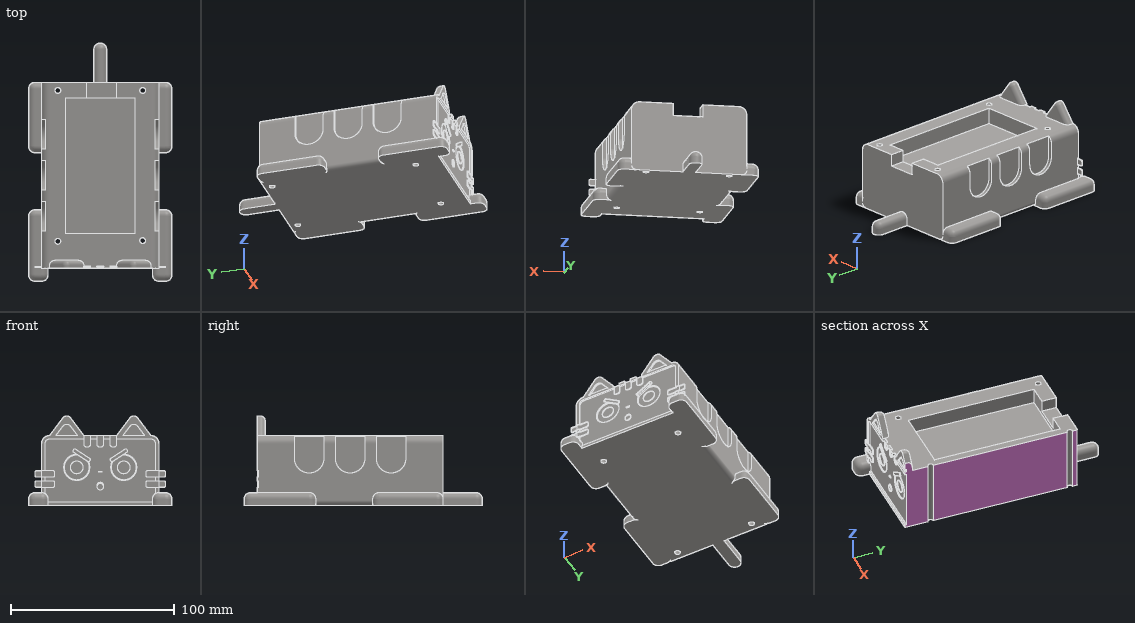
import cadquery as cq
import math

body_width = 72.0
body_length = 114.0
body_height = 43.0
top_edge_radius = 5.0
bottom_edge_radius = 3.0

rim_width = 2.2
face_depth = 1.0

overall_width = 87.9
paw_width = 12.0
paw_height = 8.0
paw_radius = 4.0
paw_top_radius = 3.999
front_paw_length = 44.0
front_paw_reach = 8.0
rear_paw_length = 43.2
tail_width = 8.0
tail_reach = 24.06

ear_spacing = 41.1
ear_half_width = 10.5
ear_slope = 1.33
ear_tip_radius = 3.0
ear_thickness = 5.0
ear_back_radius = 2.99
inner_ear_half_width = 6.6
inner_ear_depth = 1.0

pocket_width = 42.8
pocket_length = 83.0
pocket_back_wall = 9.6
pocket_depth = 10.2
notch_width = 18.4
notch_offset = 0.7
notch_depth = 7.6
screw_diameter = 3.4
screw_spacing = 52.0
screw_back_y = body_length - 5.0
front_left_screw_y = 16.6
front_right_screw_y = 17.0

scallop_width = 18.2
scallop_pitch = 25.1
scallop_bottom = 20.0
scallop_depth = 2.4
scallop_count = 3

stripe_width = 4.0
stripe_pitch = 8.0
stripe_height = 7.0
stripe_depth = 1.5
stripe_corner_radius = 1.4
stripe_count = 3

whisker_length = 12.0
whisker_height = 4.0
whisker_outer_x = 40.0
whisker_centers_z = (13.2, 19.4)
whisker_thickness = 0.6
whisker_corner_radius = 1.0

eye_x = 14.4
eye_z = 23.4
eye_radius = 8.0
eye_floor_radius = 7.6
eye_depth = 0.5
pupil_diameter = 7.8
pupil_height = 0.4
brow_x = 11.4
brow_z = 30.8
brow_length = 12.0
brow_width = 2.2
brow_corner_radius = 0.5
brow_angle = 33.0
brow_height = 0.6

nose_width = 2.2
nose_thickness = 0.4
nose_z = 20.7
nose_height = 0.6
mouth_radius = 2.0
mouth_z = 11.6
lip_rise = 0.7
mouth_height = 0.5
lip_height = 0.3

SIDES = (-1, 1)


def front_plane(y):
    """Sketch plane at depth y, seen from the front: local x is X, local y is Z, extrusion runs to -Y."""
    return cq.Workplane("XZ", origin=(0, y, 0))


def make_body():
    block = cq.Workplane("XY").box(body_width, body_length, body_height, centered=(True, False, False))
    block = block.edges("|Y and >Z").fillet(top_edge_radius)
    return block.edges("|Y and <Z").fillet(bottom_edge_radius)


def make_paw(width, length, x, y_start):
    """Flat-bottomed finger with round corners and a round top."""
    pad = cq.Workplane("XY").box(width, length, paw_height, centered=(True, False, False))
    pad = pad.edges("|Z").fillet(paw_radius)
    pad = pad.faces(">Z").edges().fillet(paw_top_radius)
    return pad.translate((x, y_start, 0))


def make_tail():
    """Flat-bottomed bar with a half-round top, ending in a round tip."""
    radius = tail_width / 2
    straight = tail_reach - radius
    tip_y = body_length + straight
    bar = (
        cq.Workplane("XZ", origin=(0, tip_y, 0))
        .moveTo(-radius, 0)
        .lineTo(-radius, radius)
        .threePointArc((0, 2 * radius), (radius, radius))
        .lineTo(radius, 0)
        .close()
        .extrude(straight)
    )
    post = cq.Workplane("XY", origin=(0, tip_y, 0)).circle(radius).extrude(radius)
    dome = cq.Workplane("XY", origin=(0, tip_y, radius)).sphere(radius)
    return bar.union(post).union(dome)


def make_ear_outline(workplane, x, half_width):
    """Triangle standing on the body top, with its tip rounded."""
    apex_z = body_height + half_width * ear_slope
    slope_angle = math.atan(ear_slope)
    arc_z = apex_z - ear_tip_radius / math.cos(slope_angle)
    tangent_dx = ear_tip_radius * math.sin(slope_angle)
    tangent_z = arc_z + ear_tip_radius * math.cos(slope_angle)
    return (
        workplane.moveTo(x - half_width, body_height)
        .lineTo(x - tangent_dx, tangent_z)
        .threePointArc((x, arc_z + ear_tip_radius), (x + tangent_dx, tangent_z))
        .lineTo(x + half_width, body_height)
        .close()
    )


def make_ear(x):
    ear = make_ear_outline(front_plane(ear_thickness), x, ear_half_width).extrude(ear_thickness)
    ear = ear.faces(">Y").edges("not <Z").fillet(ear_back_radius)
    inner = make_ear_outline(front_plane(inner_ear_depth), x, inner_ear_half_width).extrude(inner_ear_depth)
    return ear.cut(inner)


def make_face_recess():
    width = body_width - 2 * rim_width
    height = body_height - 2 * rim_width
    recess = cq.Workplane("XY").box(width, face_depth, height, centered=(True, False, False))
    recess = recess.edges("|Y and >Z").fillet(top_edge_radius - rim_width)
    return recess.translate((0, 0, rim_width))


def make_top_pocket():
    pocket_y = body_length - pocket_back_wall - pocket_length
    pocket = cq.Workplane("XY").box(pocket_width, pocket_length, pocket_depth, centered=(True, False, False))
    pocket = pocket.translate((0, pocket_y, body_height - pocket_depth))
    notch = cq.Workplane("XY").box(notch_width, pocket_back_wall, notch_depth, centered=(True, False, False))
    notch = notch.translate((notch_offset, body_length - pocket_back_wall, body_height - notch_depth))
    return pocket.union(notch)


def make_screw_holes():
    x = screw_spacing / 2
    centers = [(-x, screw_back_y), (x, screw_back_y), (-x, front_left_screw_y), (x, front_right_screw_y)]
    return cq.Workplane("XY").pushPoints(centers).circle(screw_diameter / 2).extrude(body_height)


def make_scallop(side, y):
    """Round-bottomed side pocket that runs out through the rounded top edge."""
    radius = scallop_width / 2
    arc_z = scallop_bottom + radius
    cutter = (
        cq.Workplane("YZ")
        .moveTo(y - radius, body_height)
        .lineTo(y - radius, arc_z)
        .threePointArc((y, scallop_bottom), (y + radius, arc_z))
        .lineTo(y + radius, body_height)
        .close()
        .extrude(scallop_depth)
    )
    inner_x = body_width / 2 - scallop_depth
    return cutter.translate((inner_x if side > 0 else -body_width / 2, 0, 0))


def make_stripe(x):
    stripe = cq.Workplane("XY").box(stripe_width, stripe_depth, stripe_height, centered=(True, False, False))
    stripe = stripe.edges("|Y and <Z").fillet(stripe_corner_radius)
    return stripe.translate((x, 0, body_height - stripe_height))


def make_whisker(side, z, y_front, thickness):
    bar = cq.Workplane("XY").box(whisker_length, thickness, whisker_height, centered=(True, False, True))
    bar = bar.edges("|Y").fillet(whisker_corner_radius)
    return bar.translate((side * (whisker_outer_x - whisker_length / 2), y_front, z))


def make_eye_socket(x):
    """Shallow socket with a sloping wall."""
    return (
        front_plane(face_depth)
        .center(x, eye_z)
        .circle(eye_radius)
        .workplane(offset=-eye_depth)
        .circle(eye_floor_radius)
        .loft()
    )


def make_pupil(x):
    return front_plane(face_depth + eye_depth).center(x, eye_z).circle(pupil_diameter / 2).extrude(pupil_height)


def make_brow(side):
    """Slanted bar whose root reaches down to the eye socket floor."""
    height = brow_height + eye_depth
    brow = cq.Workplane("XZ").rect(brow_length, brow_width).extrude(height)
    brow = brow.edges("|Y").fillet(brow_corner_radius)
    brow = brow.rotate((0, 0, 0), (0, 1, 0), -side * brow_angle)
    return brow.translate((side * brow_x, face_depth + eye_depth, brow_z))


def make_nose():
    return front_plane(face_depth).center(0, nose_z).rect(nose_width, nose_thickness).extrude(nose_height)


def make_mouth():
    """Round boss with a lower round step rising above it."""
    mouth = front_plane(face_depth).center(0, mouth_z).circle(mouth_radius).extrude(mouth_height)
    lip = front_plane(face_depth).center(0, mouth_z + lip_rise).circle(mouth_radius).extrude(lip_height)
    return mouth.union(lip)


result = make_body().cut(make_face_recess()).cut(make_top_pocket()).cut(make_screw_holes())

for index in range(stripe_count):
    stripe_x = (index - (stripe_count - 1) / 2) * stripe_pitch
    result = result.cut(make_stripe(stripe_x))

for side in SIDES:
    for index in range(scallop_count):
        scallop_y = body_length / 2 + (index - (scallop_count - 1) / 2) * scallop_pitch
        result = result.cut(make_scallop(side, scallop_y))

    result = result.cut(make_eye_socket(side * eye_x))
    result = result.union(make_pupil(side * eye_x))
    result = result.union(make_brow(side))
    result = result.union(make_ear(side * ear_spacing / 2))

    whisker_y = face_depth - whisker_thickness
    for z in whisker_centers_z:
        result = result.cut(make_whisker(side, z, 0, face_depth))
        result = result.union(make_whisker(side, z, whisker_y, whisker_thickness))

    paw_x = side * (overall_width - paw_width) / 2
    result = result.union(make_paw(paw_width, front_paw_length, paw_x, -front_paw_reach))
    result = result.union(make_paw(paw_width, rear_paw_length, paw_x, body_length - rear_paw_length))

result = result.union(make_nose()).union(make_mouth()).union(make_tail())